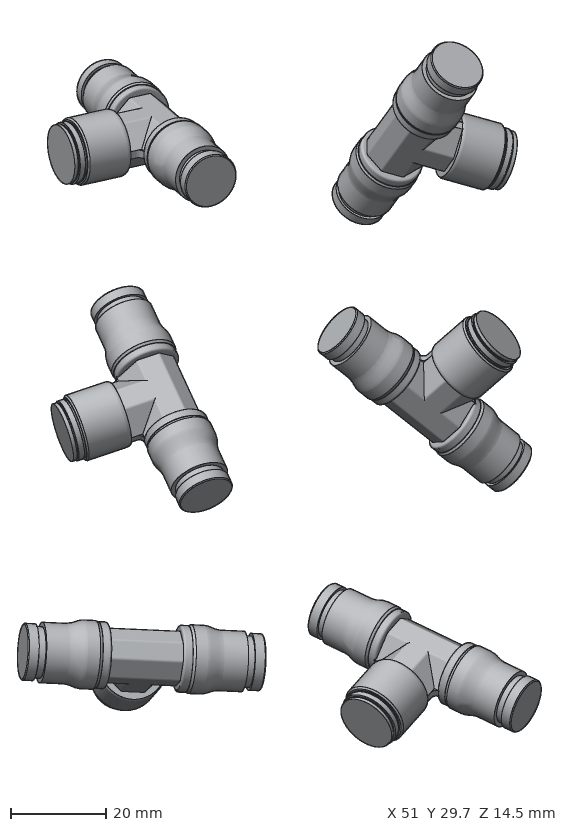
import cadquery as cq
import math

COLLAR_RADIUS = 7.265

RUN_FACE = 7.74
RUN_LIP_ROUND = 0.5
RUN_LIP_RADIUS = 7.06
RUN_LIP_END = 9.64
RUN_BEVEL_RADIUS = 6.92
RUN_COLLAR_START = 10.26
RUN_COLLAR_END = 12.9
RUN_SLEEVE_START = 16.55
RUN_SLEEVE_RADIUS = 6.4
RUN_SLEEVE_END = 21.62
RUN_NECK_RADIUS = 5.45
RUN_RING_START = 23.16
RUN_RING_RADIUS = 6.02
RUN_RING_CHAMFER = 0.23
RUN_END = 25.505

BRANCH_FACE = 9.53
BRANCH_ROUND_LENGTH = 0.77
BRANCH_FACE_RADIUS = 7.0
BRANCH_CHAMFER_START = 19.24
BRANCH_CHAMFER = 0.37
BRANCH_NECK_RADIUS = 6.5
BRANCH_BAND_START = 20.0
BRANCH_BAND_RADIUS = 6.65
BRANCH_BAND_END = 21.27
BRANCH_GROOVE_RADIUS = 6.2
BRANCH_RING_START = 21.57
BRANCH_RING_RADIUS = 6.4
BRANCH_END = 22.44

BODY_HALF_HEIGHT = 5.4
BODY_HALF_WIDTH = 7.0
BODY_BACK = 5.82
WEB_HALF_HEIGHT = 0.88
BODY_EDGE_ROUND = 0.75
WEB_CORNER_RADIUS = 1.3


def run_socket():
    """Socket of revolution about +X, from its lip to its outer end."""
    lip_mid = RUN_LIP_ROUND * (1 - math.sqrt(0.5))
    profile = (
        cq.Workplane("XY")
        .moveTo(RUN_FACE, 0)
        .lineTo(RUN_FACE, RUN_LIP_ROUND - RUN_LIP_RADIUS)
        .threePointArc(
            (RUN_FACE + lip_mid, lip_mid - RUN_LIP_RADIUS),
            (RUN_FACE + RUN_LIP_ROUND, -RUN_LIP_RADIUS),
        )
        .lineTo(RUN_LIP_END, -RUN_LIP_RADIUS)
        .lineTo(RUN_LIP_END, -RUN_BEVEL_RADIUS)
        .lineTo(RUN_COLLAR_START, -COLLAR_RADIUS)
        .lineTo(RUN_COLLAR_END, -COLLAR_RADIUS)
        .spline(
            [(RUN_SLEEVE_START, -RUN_SLEEVE_RADIUS)],
            tangents=[(1, 0), (1, 0)],
            includeCurrent=True,
        )
        .lineTo(RUN_SLEEVE_END, -RUN_SLEEVE_RADIUS)
        .lineTo(RUN_SLEEVE_END, -RUN_NECK_RADIUS)
        .lineTo(RUN_RING_START, -RUN_NECK_RADIUS)
        .lineTo(RUN_RING_START, -RUN_RING_RADIUS)
        .lineTo(RUN_END - RUN_RING_CHAMFER, -RUN_RING_RADIUS)
        .lineTo(RUN_END, RUN_RING_CHAMFER - RUN_RING_RADIUS)
        .lineTo(RUN_END, 0)
        .close()
    )
    return profile.revolve(360, (0, 0, 0), (1, 0, 0))


def branch_socket():
    """Socket of revolution about -Y, from its inner face to its outer end."""
    round_height = COLLAR_RADIUS - BRANCH_FACE_RADIUS
    round_radius = (BRANCH_ROUND_LENGTH**2 + round_height**2) / (2 * round_height)
    half_length = BRANCH_ROUND_LENGTH / 2
    mid_radius = COLLAR_RADIUS - round_radius + math.sqrt(round_radius**2 - half_length**2)
    round_end = BRANCH_FACE + BRANCH_ROUND_LENGTH
    chamfer_end = BRANCH_CHAMFER_START + BRANCH_CHAMFER
    profile = (
        cq.Workplane("XY")
        .moveTo(0, -BRANCH_FACE)
        .lineTo(-BRANCH_FACE_RADIUS, -BRANCH_FACE)
        .threePointArc((-mid_radius, half_length - round_end), (-COLLAR_RADIUS, -round_end))
        .lineTo(-COLLAR_RADIUS, -BRANCH_CHAMFER_START)
        .lineTo(BRANCH_CHAMFER - COLLAR_RADIUS, -chamfer_end)
        .lineTo(-BRANCH_NECK_RADIUS, -chamfer_end)
        .lineTo(-BRANCH_NECK_RADIUS, -BRANCH_BAND_START)
        .lineTo(-BRANCH_BAND_RADIUS, -BRANCH_BAND_START)
        .lineTo(-BRANCH_BAND_RADIUS, -BRANCH_BAND_END)
        .lineTo(-BRANCH_GROOVE_RADIUS, -BRANCH_BAND_END)
        .lineTo(-BRANCH_GROOVE_RADIUS, -BRANCH_RING_START)
        .lineTo(-BRANCH_RING_RADIUS, -BRANCH_RING_START)
        .lineTo(-BRANCH_RING_RADIUS, -BRANCH_END)
        .lineTo(0, -BRANCH_END)
        .close()
    )
    return profile.revolve(360, (0, 0, 0), (0, 1, 0))


def bar_section(plane, left, right):
    """Eight-sided section of a bar: flat top and bottom, 45 degree flanks, narrow sides.

    left and right are the distances of the two sides from the bar's axis.
    """
    flank_sum = BODY_HALF_WIDTH + WEB_HALF_HEIGHT
    flat = flank_sum - BODY_HALF_HEIGHT
    return plane.polyline(
        [
            (right, flank_sum - right),
            (flat, BODY_HALF_HEIGHT),
            (-flat, BODY_HALF_HEIGHT),
            (-left, flank_sum - left),
            (-left, left - flank_sum),
            (-flat, -BODY_HALF_HEIGHT),
            (flat, -BODY_HALF_HEIGHT),
            (right, right - flank_sum),
        ]
    ).close()


def run_bar():
    """Bar along X joining the run sockets, cut shorter at its back than at its front."""
    section = bar_section(cq.Workplane("YZ"), BODY_HALF_WIDTH, BODY_BACK)
    bar = section.extrude(RUN_FACE + RUN_LIP_ROUND, both=True)
    return bar.edges("|X").edges(">Z or <Z or >Y").fillet(BODY_EDGE_ROUND)


def branch_bar():
    """Bar along Y from the run's axis to the branch socket."""
    section = bar_section(cq.Workplane("XZ"), BODY_HALF_WIDTH, BODY_HALF_WIDTH)
    bar = section.extrude(BRANCH_FACE + BRANCH_ROUND_LENGTH)
    return bar.edges("|Y").edges(">Z or <Z").fillet(BODY_EDGE_ROUND)


def web_corner():
    """Concave corner filler between the side webs of the run and of the branch, at +X."""
    arc_centre = BODY_HALF_WIDTH + WEB_CORNER_RADIUS
    arc_mid = arc_centre - WEB_CORNER_RADIUS * math.sqrt(0.5)
    return (
        cq.Workplane("XY", origin=(0, 0, -WEB_HALF_HEIGHT))
        .moveTo(0, 0)
        .lineTo(arc_centre, 0)
        .lineTo(arc_centre, -BODY_HALF_WIDTH)
        .threePointArc((arc_mid, -arc_mid), (BODY_HALF_WIDTH, -arc_centre))
        .lineTo(0, -arc_centre)
        .close()
        .extrude(2 * WEB_HALF_HEIGHT)
    )


result = run_bar().union(branch_bar()).union(branch_socket())
for right_part in (web_corner(), run_socket()):
    result = result.union(right_part).union(right_part.mirror("YZ"))